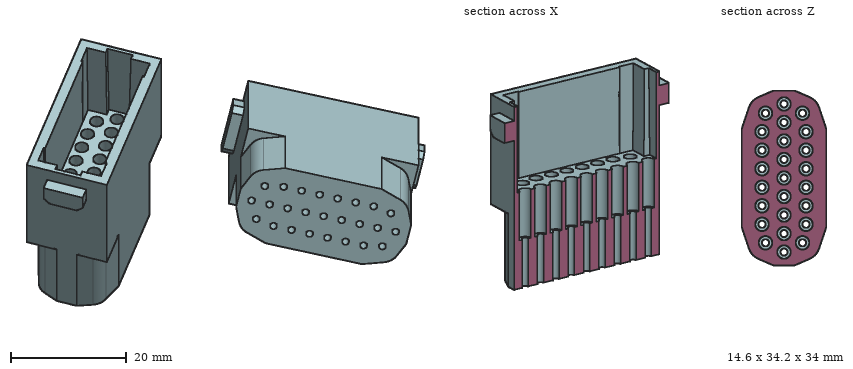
import cadquery as cq

HOUSING_WIDTH = 14.6
HOUSING_LENGTH = 30.23
TOTAL_HEIGHT = 34.0
PLUG_HEIGHT = 13.58

END_FLAT_WIDTH = 3.63
SIDE_FLAT_LENGTH = 17.1
KNEE_X = 5.65
KNEE_Y = 13.47
KNEE_RADIUS = 3.1

OVERALL_LENGTH = 34.2
LUG_PROJECTION = (OVERALL_LENGTH - HOUSING_LENGTH) / 2
FRONT_LUG_WIDTH = 7.1
REAR_LUG_WIDTH = 9.0
LUG_HEIGHT = 3.75
LUG_CHAMFER = 1.05
RIM_TO_LUG = 2.55
LUG_TOP = TOTAL_HEIGHT - RIM_TO_LUG

CAVITY_DEPTH = 16.0
FLOOR_Z = TOTAL_HEIGHT - CAVITY_DEPTH
DRAFT = 0.27
CAVITY_WIDTH = 10.88
CAVITY_LENGTH = 26.47
BAY_START_Y = 10.45
KEYWAY_WIDTH = 4.05
KEYWAY_LENGTH = 28.85

HOLE_DIAMETER = 1.2
COUNTERBORE_DIAMETER = 2.3
COUNTERBORE_DEPTH = FLOOR_Z / 2
CENTER_CONTACTS = 9
CENTER_COLUMN_SPAN = 25.58
CONTACT_PITCH = CENTER_COLUMN_SPAN / (CENTER_CONTACTS - 1)
SIDE_CONTACTS = 6
SIDE_COLUMN_X = 3.8
CORNER_CONTACT_X = CONTACT_PITCH


def block(width, length, bottom, top):
    """Box centered on the Z axis between two heights."""
    return cq.Workplane("XY").workplane(offset=bottom).rect(width, length).extrude(top - bottom)


def make_plug():
    """Plug built as one quarter and mirrored across both vertical mid-planes."""
    half_width = HOUSING_WIDTH / 2
    half_length = HOUSING_LENGTH / 2
    outline = (
        cq.Workplane("XY")
        .moveTo(half_width, SIDE_FLAT_LENGTH / 2)
        .lineTo(KNEE_X, KNEE_Y)
        .lineTo(END_FLAT_WIDTH / 2, half_length)
        .lineTo(0, half_length)
        .lineTo(0, 0)
        .lineTo(half_width, 0)
        .close()
        .extrude(PLUG_HEIGHT)
    )
    knee_edge = cq.selectors.NearestToPointSelector((KNEE_X, KNEE_Y, PLUG_HEIGHT / 2))
    quarter = outline.edges("|Z").edges(knee_edge).fillet(KNEE_RADIUS)
    half = quarter.union(quarter.mirror("YZ"))
    return half.union(half.mirror("XZ"))


def make_lug(width, end):
    """Lug on the +Y end (end = 1) or the -Y end (end = -1), with its lower corners chamfered."""
    center_y = end * (OVERALL_LENGTH - LUG_PROJECTION) / 2
    lug = (
        cq.Workplane("XY")
        .box(width, LUG_PROJECTION, LUG_HEIGHT)
        .edges("|Y and <Z")
        .chamfer(LUG_CHAMFER)
    )
    return lug.translate((0, center_y, LUG_TOP - LUG_HEIGHT / 2))


def make_end_bay(end):
    """Drafted pocket at one end of the cavity, a little wider than the cavity at the rim."""
    floor_length = CAVITY_LENGTH / 2 - BAY_START_Y
    rim_length = floor_length + DRAFT
    return (
        cq.Workplane("XY")
        .workplane(offset=FLOOR_Z)
        .center(0, end * (BAY_START_Y + floor_length / 2))
        .rect(CAVITY_WIDTH, floor_length)
        .workplane(offset=CAVITY_DEPTH)
        .center(0, end * DRAFT / 2)
        .rect(CAVITY_WIDTH + 2 * DRAFT, rim_length)
        .loft(combine=True)
    )


def make_keyway():
    """Full-length slot whose two sides draft inward toward the floor."""
    return (
        cq.Workplane("XY")
        .workplane(offset=FLOOR_Z)
        .rect(KEYWAY_WIDTH, KEYWAY_LENGTH)
        .workplane(offset=CAVITY_DEPTH)
        .rect(KEYWAY_WIDTH + 2 * DRAFT, KEYWAY_LENGTH)
        .loft(combine=True)
    )


def contact_points():
    """Center column, two staggered side columns and four inset corner contacts."""
    points = [(0, (i - (CENTER_CONTACTS - 1) / 2) * CONTACT_PITCH) for i in range(CENTER_CONTACTS)]
    corner_y = (SIDE_CONTACTS + 1) / 2 * CONTACT_PITCH
    for side in (-1, 1):
        for i in range(SIDE_CONTACTS):
            points.append((side * SIDE_COLUMN_X, (i - (SIDE_CONTACTS - 1) / 2) * CONTACT_PITCH))
        for end in (-1, 1):
            points.append((side * CORNER_CONTACT_X, end * corner_y))
    return points


def make_contact_holes():
    """Through holes with their counterbores, as one cutting body."""
    points = contact_points()
    holes = cq.Workplane("XY").pushPoints(points).circle(HOLE_DIAMETER / 2).extrude(FLOOR_Z)
    counterbores = (
        cq.Workplane("XY")
        .workplane(offset=FLOOR_Z - COUNTERBORE_DEPTH)
        .pushPoints(points)
        .circle(COUNTERBORE_DIAMETER / 2)
        .extrude(COUNTERBORE_DEPTH)
    )
    return holes.union(counterbores)


body = make_plug().union(block(HOUSING_WIDTH, HOUSING_LENGTH, PLUG_HEIGHT, TOTAL_HEIGHT))
body = body.union(make_lug(FRONT_LUG_WIDTH, -1)).union(make_lug(REAR_LUG_WIDTH, 1))

body = body.cut(block(CAVITY_WIDTH, 2 * BAY_START_Y, FLOOR_Z, TOTAL_HEIGHT))
for end in (-1, 1):
    body = body.cut(make_end_bay(end))
body = body.cut(make_keyway())

result = body.cut(make_contact_holes())